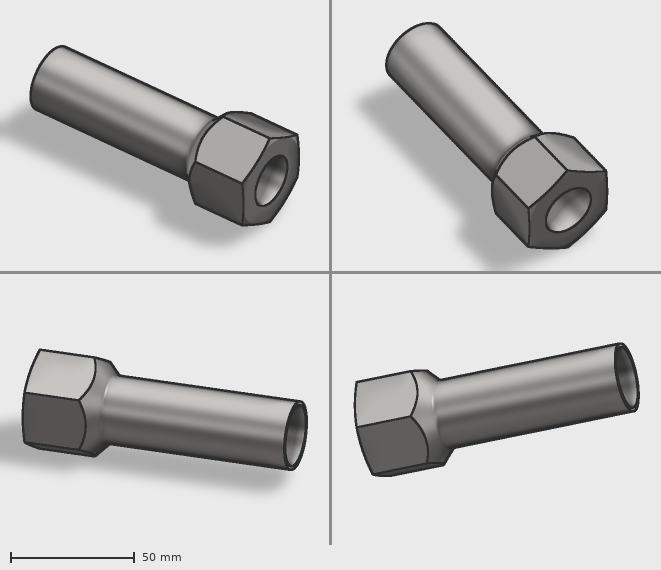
import math

import cadquery as cq

total_length = 110.0
tube_diameter = 28.0
tube_wall = 1.5
tube_radius = tube_diameter / 2

across_flats = 38.0
corner_radius = across_flats / math.sqrt(3)

shoulder_angle = math.radians(45)
shoulder_fillet = 2.0
shoulder_start = 78.0
fillet_start = shoulder_start - shoulder_fillet * math.tan(shoulder_angle / 2)
fillet_end = fillet_start + shoulder_fillet * math.sin(shoulder_angle)
fillet_end_radius = tube_radius + shoulder_fillet * (1 - math.cos(shoulder_angle))
shoulder_end = shoulder_start + (corner_radius - tube_radius) / math.tan(shoulder_angle)

end_face_diameter = across_flats
end_chamfer_angle = math.radians(15)
end_chamfer_length = (corner_radius - end_face_diameter / 2) * math.tan(end_chamfer_angle)

tube_bore_diameter = tube_diameter - 2 * tube_wall
head_bore_diameter = 22.0
tube_bore_depth = shoulder_start


def cylinder_from_tube_end(diameter, length):
    return cq.Workplane("YZ").circle(diameter / 2).extrude(length)


def turned_envelope():
    """Body of revolution holding the tube, fillet, shoulder and end chamfer."""
    middle_angle = shoulder_angle / 2
    fillet_middle = (
        fillet_start + shoulder_fillet * math.sin(middle_angle),
        tube_radius + shoulder_fillet * (1 - math.cos(middle_angle)),
    )
    return (
        cq.Workplane("XY")
        .lineTo(0, tube_radius)
        .lineTo(fillet_start, tube_radius)
        .threePointArc(fillet_middle, (fillet_end, fillet_end_radius))
        .lineTo(shoulder_end, corner_radius)
        .lineTo(total_length - end_chamfer_length, corner_radius)
        .lineTo(total_length, end_face_diameter / 2)
        .lineTo(total_length, 0)
        .close()
        .revolve(360, (0, 0, 0), (1, 0, 0))
    )


def hexagonal_prism():
    """Full-length hexagon whose corners point along +Z and -Z."""
    return (
        cq.Workplane("YZ")
        .transformed(rotate=(0, 0, 90))
        .polygon(6, 2 * corner_radius)
        .extrude(total_length)
    )


body = turned_envelope().intersect(hexagonal_prism())
tube_bore = cylinder_from_tube_end(tube_bore_diameter, tube_bore_depth)
head_bore = cylinder_from_tube_end(head_bore_diameter, total_length)

result = body.cut(tube_bore).cut(head_bore)